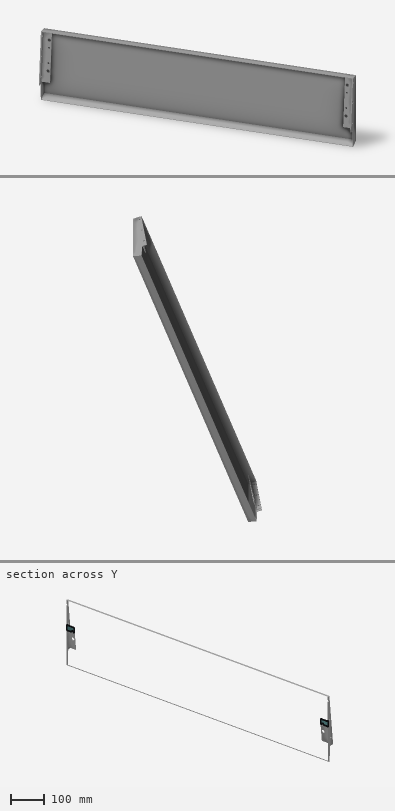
import cadquery as cq
import math

LENGTH = 1012.0
DEPTH = 45.0
HEIGHT = 226.0

TRAY_SHEET = 1.5
FLANGE_DEPTH = 27.0
BOTTOM_DROP = 11.0
WING_DROP = 172.0
WING_ROOT_DEPTH = 29.0
TILT_ANGLE = 6.0
TILT_SLOPE = math.tan(math.radians(TILT_ANGLE))
WING_TOP_DEPTH = DEPTH - TILT_SLOPE * WING_DROP

BRACKET_SHEET = 2.0
BRACKET_LENGTH = 162.0
BRACKET_DEPTH = 15.0
BRACKET_WIDTH = 29.0

SIDE_HOLE_DIAMETER = 6.0
SIDE_HOLE_INSET = 6.6
SIDE_HOLE_DROPS = (14.0, 79.0, 144.0)
PLATE_HOLE_INSET = 7.6
LARGE_HOLE_DIAMETER = 10.0
LARGE_HOLE_DROPS = (27.0, 125.0)
SMALL_HOLE_DIAMETER = 6.0
SMALL_HOLE_DROPS = (52.0, 100.0)

HALF_LENGTH = LENGTH / 2
INNER_HALF_LENGTH = HALF_LENGTH - TRAY_SHEET

CORNER_Z = HEIGHT - TRAY_SHEET
CORNER_Y = -(WING_TOP_DEPTH + TILT_SLOPE * (HEIGHT - CORNER_Z))


def extrude_profile(points, start_x, end_x):
    """Extrude a closed (Y, Z) outline along X."""
    plane = cq.Workplane("YZ", origin=(start_x, 0, 0))
    return plane.polyline(points).close().extrude(end_x - start_x)


def tilt(body):
    """Lean a part made upright at the origin and hang it from the bracket corner."""
    leaned = body.rotate((0, 0, 0), (1, 0, 0), -TILT_ANGLE)
    return leaned.translate((0, CORNER_Y, CORNER_Z))


def side_hole_pins():
    """Cylinders along X through both end walls and both bracket sides."""
    centres = [(SIDE_HOLE_INSET, -drop) for drop in SIDE_HOLE_DROPS]
    plane = cq.Workplane("YZ", origin=(-HALF_LENGTH, 0, 0))
    pins = plane.pushPoints(centres).circle(SIDE_HOLE_DIAMETER / 2).extrude(LENGTH)
    return tilt(pins)


def make_tray():
    channel = extrude_profile(
        [
            (0, BOTTOM_DROP),
            (0, HEIGHT),
            (-FLANGE_DEPTH, HEIGHT),
            (-FLANGE_DEPTH, HEIGHT - TRAY_SHEET),
            (-TRAY_SHEET, HEIGHT - TRAY_SHEET),
            (-TRAY_SHEET, BOTTOM_DROP + TRAY_SHEET),
            (-FLANGE_DEPTH, TRAY_SHEET),
            (-FLANGE_DEPTH, 0),
        ],
        -HALF_LENGTH,
        HALF_LENGTH,
    )
    wall_outline = [
        (0, BOTTOM_DROP),
        (0, HEIGHT),
        (-WING_TOP_DEPTH, HEIGHT),
        (-DEPTH, HEIGHT - WING_DROP),
        (-WING_ROOT_DEPTH, HEIGHT - WING_DROP),
        (-FLANGE_DEPTH, 0),
    ]
    left_wall = extrude_profile(wall_outline, -HALF_LENGTH, -INNER_HALF_LENGTH)
    right_wall = left_wall.mirror("YZ")
    return channel.union(left_wall).union(right_wall).cut(side_hole_pins())


def make_left_bracket():
    side = cq.Workplane("XY").box(BRACKET_SHEET, BRACKET_DEPTH, BRACKET_LENGTH, centered=False)
    plate = cq.Workplane("XY").box(BRACKET_WIDTH, BRACKET_SHEET, BRACKET_LENGTH, centered=False)
    plate = plate.translate((0, BRACKET_DEPTH - BRACKET_SHEET, 0))
    bracket = side.union(plate).translate((0, 0, -BRACKET_LENGTH))
    hole_x = BRACKET_WIDTH - PLATE_HOLE_INSET
    for diameter, drops in (
        (LARGE_HOLE_DIAMETER, LARGE_HOLE_DROPS),
        (SMALL_HOLE_DIAMETER, SMALL_HOLE_DROPS),
    ):
        centres = [(hole_x, -drop) for drop in drops]
        pins = cq.Workplane("XZ").pushPoints(centres).circle(diameter / 2).extrude(-BRACKET_DEPTH)
        bracket = bracket.cut(pins)
    placed = tilt(bracket.translate((-INNER_HALF_LENGTH, 0, 0)))
    return placed.cut(side_hole_pins())


tray = make_tray()
left_bracket = make_left_bracket()
right_bracket = left_bracket.mirror("YZ")

result = cq.Compound.makeCompound([tray.val(), left_bracket.val(), right_bracket.val()])